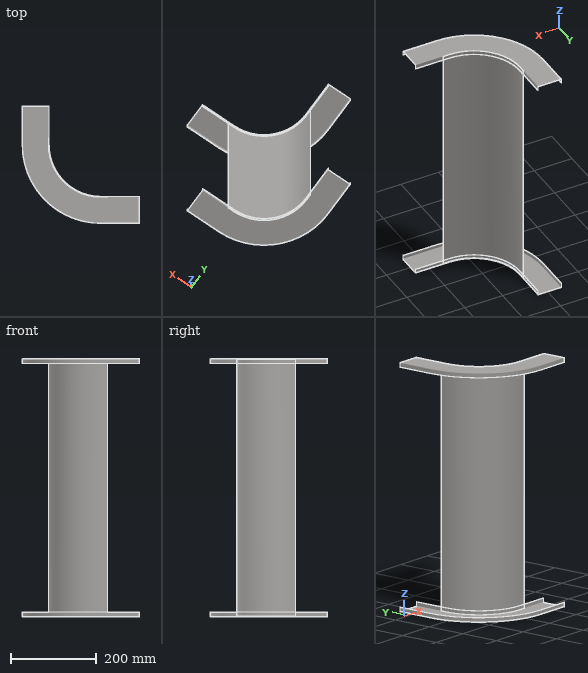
import cadquery as cq
import math

overall_height = 603.0
overall_side = 274.0

sheet = 1.0

channel_width = 63.5
channel_height = 11.5
channel_straight = 90.5
fold_inner_radius = sheet
fold_outer_radius = fold_inner_radius + sheet

panel_straight = 16.0
panel_inset = channel_width - 2 * sheet
panel_height = overall_height - 2 * fold_outer_radius

bend_center = overall_side - channel_straight


def bend_midpoint(inset):
    """Point halfway round the bend, on the arc that starts at this inset."""
    coordinate = bend_center - (bend_center - inset) * math.sqrt(0.5)
    return (coordinate, coordinate)


def curved_strip(inset, width, straight, height):
    """Solid band: a straight run, a quarter bend and a straight run, standing on Z = 0.

    inset is the distance from the outer channel face to the convex side of the band.
    """
    far_end = bend_center + straight
    inner = inset + width
    return (
        cq.Workplane("XY")
        .moveTo(far_end, inset)
        .lineTo(bend_center, inset)
        .threePointArc(bend_midpoint(inset), (inset, bend_center))
        .lineTo(inset, far_end)
        .lineTo(inner, far_end)
        .lineTo(inner, bend_center)
        .threePointArc(bend_midpoint(inner), (bend_center, inner))
        .lineTo(far_end, inner)
        .close()
        .extrude(height)
    )


def round_lower_edges(strip, radius):
    """Round the long bottom edges of a channel-length strip, leaving its ends sharp."""
    long_edges = [
        edge
        for edge in strip.faces("<Z").edges().vals()
        if max(edge.Center().x, edge.Center().y) < overall_side - sheet
    ]
    return strip.newObject(long_edges).fillet(radius)


def make_channel():
    """Channel with its web on Z = 0 and its flanges pointing up."""
    outside = curved_strip(0, channel_width, channel_straight, channel_height)
    hollow = curved_strip(sheet, channel_width - 2 * sheet, channel_straight, channel_height)
    hollow = round_lower_edges(hollow, fold_inner_radius).translate((0, 0, sheet))
    return round_lower_edges(outside, fold_outer_radius).cut(hollow)


def make_panel():
    """Plain curved sheet held between the two channels."""
    panel = curved_strip(panel_inset, sheet, panel_straight, panel_height)
    return panel.translate((0, 0, fold_outer_radius))


lower_channel = make_channel()
upper_channel = lower_channel.mirror("XY").translate((0, 0, overall_height))
panel = make_panel()

result = cq.Compound.makeCompound([lower_channel.val(), upper_channel.val(), panel.val()])